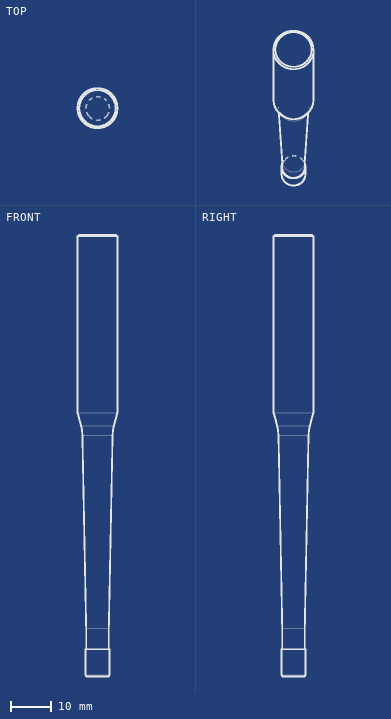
import cadquery as cq
import math


total_length = 110.0
cutting_length = 6.8
neck_top = 12.0
shank_bottom = 65.75

cutter_radius = 3.0
corner_radius = 0.5

neck_radius = 2.85
cone_half_angle = math.radians(15.0)
cone_bottom = 62.5
cone_fillet_radius = 10.0
shank_radius = 5.0
shank_chamfer_width = 0.5
shank_chamfer_height = 0.4

cone_bottom_radius = shank_radius - (shank_bottom - cone_bottom) * math.tan(cone_half_angle)
fillet_center_r = cone_bottom_radius + cone_fillet_radius * math.cos(cone_half_angle)
fillet_center_z = cone_bottom - cone_fillet_radius * math.sin(cone_half_angle)

neck_to_center_r = fillet_center_r - neck_radius
neck_to_center_z = fillet_center_z - neck_top
neck_to_center = math.hypot(neck_to_center_r, neck_to_center_z)
center_angle = math.atan2(neck_to_center_r, neck_to_center_z)
taper_half_angle = center_angle - math.asin(cone_fillet_radius / neck_to_center)


def fillet_point(angle):
    """Point of the concave fillet where its tangent leans by angle from the axis."""
    r = fillet_center_r - cone_fillet_radius * math.cos(angle)
    z = fillet_center_z + cone_fillet_radius * math.sin(angle)
    return (r, z)


def make_cutter():
    """Plain cylinder for the cutting head, with a rounded bottom edge."""
    head = cq.Workplane("XY").circle(cutter_radius).extrude(cutting_length)
    return head.faces("<Z").edges().fillet(corner_radius)


def make_holder():
    """Neck, slim taper, filleted cone and shank, revolved as one body."""
    profile = (
        cq.Workplane("XZ")
        .moveTo(0, cutting_length)
        .lineTo(neck_radius, cutting_length)
        .lineTo(neck_radius, neck_top)
        .lineTo(*fillet_point(taper_half_angle))
        .threePointArc(
            fillet_point((taper_half_angle + cone_half_angle) / 2),
            fillet_point(cone_half_angle),
        )
        .lineTo(shank_radius, shank_bottom)
        .lineTo(shank_radius, total_length - shank_chamfer_height)
        .lineTo(shank_radius - shank_chamfer_width, total_length)
        .lineTo(0, total_length)
        .close()
    )
    return profile.revolve(360, (0, 0, 0), (0, 1, 0))


cutter = make_cutter()
holder = make_holder()
result = cq.Compound.makeCompound([cutter.val(), holder.val()])